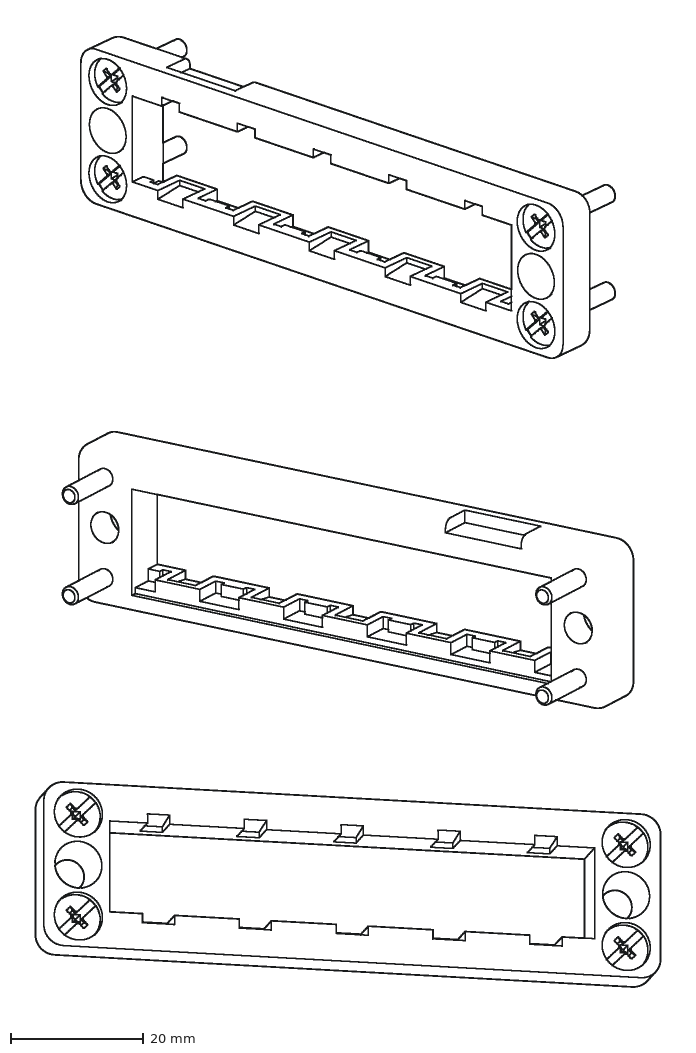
import cadquery as cq
LENGTH = 95.6
HEIGHT = 25.5
TOTAL_DEPTH = 17.2
FRAME_DEPTH = 7.2
CORNER_RADIUS = 3.1
BACK_EDGE_RADIUS = 1.4

WINDOW_LENGTH = 75.1
WINDOW_HEIGHT = 14.15
STATION_COUNT = 5
STATION_PITCH = 15.0

POCKET_DEPTH = 5.1
POCKET_FRONT_RISE = 1.4
POCKET_BACK_RISE = 0.9
LOWER_POCKET_WIDTH = 5.0
UPPER_POCKET_WIDTH = 3.4

BLOCK_WIDTH = 8.0
BLOCK_BACK = 6.2
LIP_THICKNESS = 1.7
RELIEF_DROP = 1.9
BACK_STEP_DROP = 2.9
TAB_WIDTH = 4.0
TAB_DEPTH = 0.9

LABEL_LENGTH = 13.6
LABEL_LEFT = -32.2
LABEL_DROP = 2.0

END_HOLE_X = 42.4
SCREW_Z = 8.0
HOLE_FRONT_RADIUS = 3.6
HOLE_BACK_RADIUS = 2.5

HEAD_RADIUS = 3.7
HEAD_SINK = 0.9
HEAD_EDGE_RADIUS = 0.8
SEAT_DEPTH = 3.7
SHANK_DIAMETER = 2.9
TIP_CHAMFER = 0.4
SLOT_WIDTH = 1.2
SLOT_DEPTH = 0.7
CROSS_LENGTH = 3.8
CROSS_FLOOR_LENGTH = 2.5
CROSS_WIDTH = 0.9
CROSS_DEPTH = 0.7
SOCKET_SIDE = 1.9
SOCKET_TIP = 0.3
SOCKET_DEPTH = 1.5
DRIVE_ANGLE = 45

STATIONS = [(i - (STATION_COUNT - 1) / 2) * STATION_PITCH for i in range(STATION_COUNT)]
RAIL_Z = WINDOW_HEIGHT / 2


def block(x_size, y_range, z_range, x_center=0.0):
    """Box centred on x_center, spanning the given Y and Z ranges."""
    y_min, y_max = y_range
    z_min, z_max = z_range
    box = cq.Workplane("XY").box(x_size, y_max - y_min, z_max - z_min, centered=(True, False, False))
    return box.translate((x_center, y_min, z_min))


def back_facing_plane(x, y, z):
    """Sketch plane parallel to XZ whose normal points to +Y."""
    return cq.Workplane(cq.Plane(origin=(x, y, z), xDir=(1, 0, 0), normal=(0, 1, 0)))


def frame():
    """Rounded plate with a softened back edge and the central window."""
    body = block(LENGTH, (0, FRAME_DEPTH), (-HEIGHT / 2, HEIGHT / 2))
    body = body.edges("|Y").fillet(CORNER_RADIUS)
    body = body.faces(">Y").edges().fillet(BACK_EDGE_RADIUS)
    return body.cut(block(WINDOW_LENGTH, (0, FRAME_DEPTH), (-RAIL_Z, RAIL_Z)))


def pocket(width, x, side):
    """Latch pocket cut into the upper (side = 1) or lower (side = -1) rail."""
    profile = [
        (0, 0),
        (0, side * (RAIL_Z + POCKET_FRONT_RISE)),
        (POCKET_DEPTH, side * (RAIL_Z + POCKET_BACK_RISE)),
        (POCKET_DEPTH, 0),
    ]
    solid = cq.Workplane("YZ").polyline(profile).close().extrude(width / 2, both=True)
    return solid.translate((x, 0, 0))


def lower_rail_relief():
    """Lowered strip behind the lip, leaving the pocket blocks and a tab midway between them."""
    levels = (-RAIL_Z - RELIEF_DROP, -RAIL_Z)
    relief = block(WINDOW_LENGTH, (LIP_THICKNESS, BLOCK_BACK), levels)
    for x in STATIONS:
        relief = relief.cut(block(BLOCK_WIDTH, (LIP_THICKNESS, BLOCK_BACK), levels, x))
    tab_range = (LIP_THICKNESS, LIP_THICKNESS + TAB_DEPTH)
    for i in range(STATION_COUNT + 1):
        x = STATIONS[0] + (i - 0.5) * STATION_PITCH
        relief = relief.cut(block(TAB_WIDTH, tab_range, levels, x))
    return relief


def lower_rail_back_step():
    """Deeper step along the back of the lower rail, behind the pocket blocks."""
    return block(WINDOW_LENGTH, (BLOCK_BACK, FRAME_DEPTH), (-RAIL_Z - BACK_STEP_DROP, -RAIL_Z))


def label_recess():
    """Flat recess in the top side, open toward the back."""
    x = LABEL_LEFT + LABEL_LENGTH / 2
    return block(LABEL_LENGTH, (LIP_THICKNESS, FRAME_DEPTH), (HEIGHT / 2 - LABEL_DROP, HEIGHT / 2), x)


def end_hole(x):
    """Through hole tapering toward the back."""
    front = back_facing_plane(x, 0, 0).circle(HOLE_FRONT_RADIUS)
    return front.workplane(offset=FRAME_DEPTH).circle(HOLE_BACK_RADIUS).loft()


def screw_seat(x, z):
    """Blind round seat that takes the screw head."""
    return back_facing_plane(x, 0, z).circle(HEAD_RADIUS).extrude(SEAT_DEPTH)


def drive_recess(x, z, angle, mouth_size, floor_size, depth):
    """Rectangular recess in the screw head, tapering from mouth to floor and turned about the screw axis."""
    mouth = back_facing_plane(0, 0, 0).rect(*mouth_size)
    recess = mouth.workplane(offset=depth).rect(*floor_size).loft()
    return recess.rotate((0, 0, 0), (0, 1, 0), -angle).translate((x, HEAD_SINK, z))


def screw(x, z):
    """Screw with a rounded head edge, a full-width slot and a cross recess around a deeper socket."""
    head = back_facing_plane(x, HEAD_SINK, z).circle(HEAD_RADIUS).extrude(SEAT_DEPTH - HEAD_SINK)
    head = head.faces("<Y").edges().fillet(HEAD_EDGE_RADIUS)

    slot_size = (2 * HEAD_RADIUS, SLOT_WIDTH)
    cross_mouth = (CROSS_LENGTH, CROSS_WIDTH)
    cross_floor = (CROSS_FLOOR_LENGTH, CROSS_WIDTH)
    socket_mouth = (SOCKET_SIDE, SOCKET_SIDE)
    socket_floor = (SOCKET_TIP, SOCKET_TIP)
    head = head.cut(drive_recess(x, z, DRIVE_ANGLE, slot_size, slot_size, SLOT_DEPTH))
    head = head.cut(drive_recess(x, z, DRIVE_ANGLE + 90, cross_mouth, cross_floor, CROSS_DEPTH))
    head = head.cut(drive_recess(x, z, 0, socket_mouth, socket_floor, SOCKET_DEPTH))

    shank = back_facing_plane(x, SEAT_DEPTH, z).circle(SHANK_DIAMETER / 2).extrude(TOTAL_DEPTH - SEAT_DEPTH)
    return head.union(shank.faces(">Y").chamfer(TIP_CHAMFER))


result = frame().cut(lower_rail_relief()).cut(lower_rail_back_step()).cut(label_recess())
for station_x in STATIONS:
    result = result.cut(pocket(LOWER_POCKET_WIDTH, station_x, -1))
    result = result.cut(pocket(UPPER_POCKET_WIDTH, station_x, 1))
for end_x in (-END_HOLE_X, END_HOLE_X):
    result = result.cut(end_hole(end_x))
    for screw_z in (-SCREW_Z, SCREW_Z):
        result = result.cut(screw_seat(end_x, screw_z))
        result = result.union(screw(end_x, screw_z))